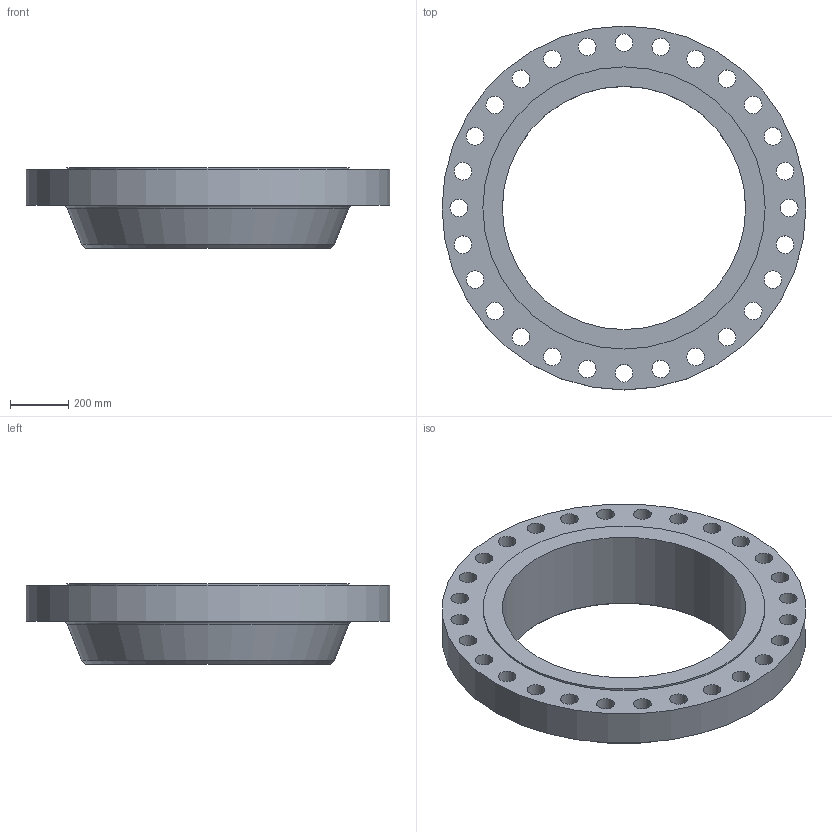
import cadquery as cq

outer_diameter = 1244.6
overall_height = 276.225
bore_diameter = 831.85

raised_face_diameter = 965.2
raised_face_height = 6.35
flange_thickness = 122.65

hub_top_diameter = 970.0
weld_end_diameter = 863.6
bevel_height = 13.5
root_face_width = 1.6
hub_fillet_radius = 15.0

bolt_count = 28
bolt_circle_diameter = 1130.3
bolt_hole_diameter = 60.325

flange_top = overall_height - raised_face_height
flange_bottom = flange_top - flange_thickness


def make_body():
    """Ring of raised face, flange disc, tapered hub and welding bevel around the bore."""
    bore_radius = bore_diameter / 2
    section = (
        cq.Workplane("XZ")
        .moveTo(-bore_radius, 0)
        .lineTo(-bore_radius - root_face_width, 0)
        .lineTo(-weld_end_diameter / 2, bevel_height)
        .lineTo(-hub_top_diameter / 2, flange_bottom)
        .lineTo(-outer_diameter / 2, flange_bottom)
        .lineTo(-outer_diameter / 2, flange_top)
        .lineTo(-raised_face_diameter / 2, flange_top)
        .lineTo(-raised_face_diameter / 2, overall_height)
        .lineTo(-bore_radius, overall_height)
        .close()
    )
    return section.revolve(360, (0, 0, 0), (0, 1, 0))


def fillet_hub_root(body):
    """Round the inside corner where the hub meets the underside of the flange."""
    margin = 0.5
    reach = hub_top_diameter / 2 + margin
    hub_root = cq.selectors.BoxSelector(
        (-reach, -reach, flange_bottom - margin),
        (reach, reach, flange_bottom + margin),
        boundingbox=True,
    )
    return body.edges(hub_root).fillet(hub_fillet_radius)


def make_bolt_holes():
    """Cylinders through the flange disc, evenly spaced on the bolt circle."""
    return (
        cq.Workplane("XY")
        .workplane(offset=flange_bottom)
        .polarArray(bolt_circle_diameter / 2, 0, 360, bolt_count)
        .circle(bolt_hole_diameter / 2)
        .extrude(flange_thickness)
    )


result = fillet_hub_root(make_body()).cut(make_bolt_holes())